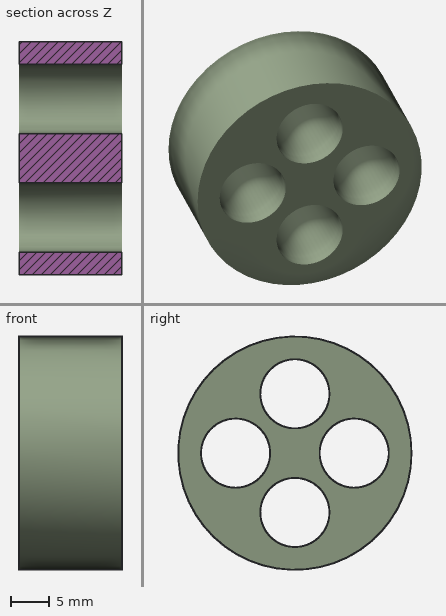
import cadquery as cq

disc_diameter = 30.5
disc_thickness = 13.5

hole_count = 4
hole_diameter = 9.0
hole_circle_radius = 7.75

disc = (
    cq.Workplane("YZ")
    .circle(disc_diameter / 2)
    .extrude(disc_thickness)
)

holes = (
    cq.Workplane("YZ")
    .polarArray(hole_circle_radius, 0, 360, hole_count)
    .circle(hole_diameter / 2)
    .extrude(disc_thickness)
)

result = disc.cut(holes)